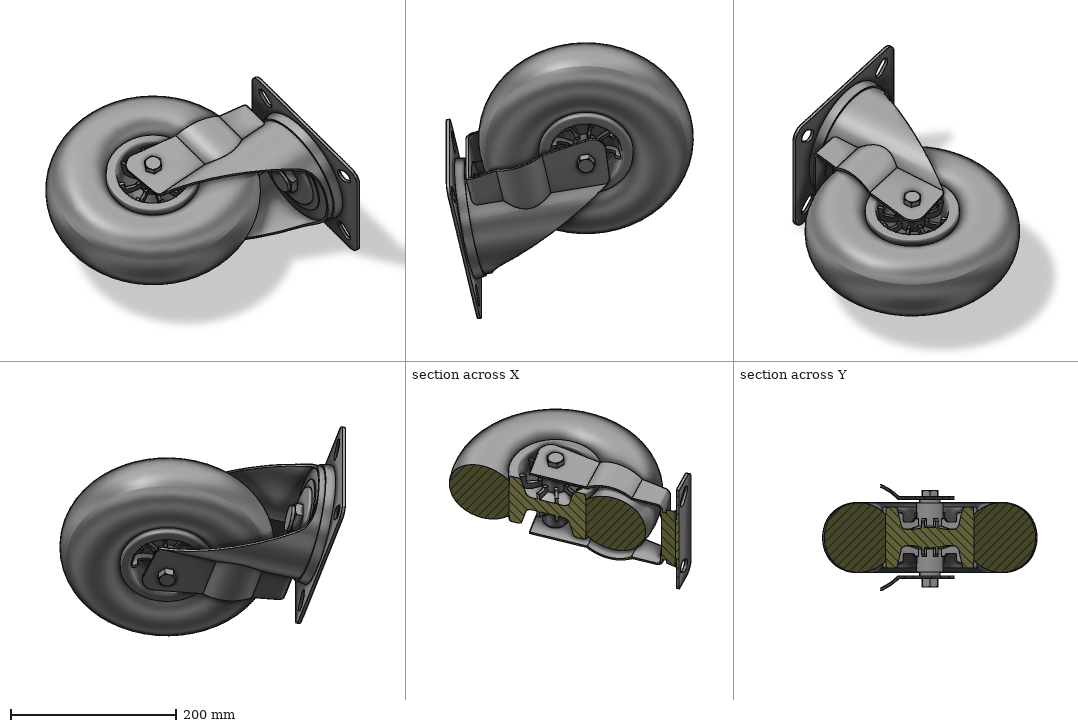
import cadquery as cq
import math


swivel_x = 86.8
plate_length = 200.3
plate_width = 160.0
plate_thickness = 3.8
plate_top_y = 170.0
plate_corner_radius = 15.0
slot_width = 16.5
slot_length = 26.3
slot_offset_x = 75.0
slot_offset_z = 56.5
race_diameter = 133.0
kingpin_diameter = 32.0
kingpin_nut_flats = 35.0
kingpin_nut_height = 9.8
kingpin_tip = 3.8

cap_top_y = 164.8
cap_bottom_y = 153.0
cap_top_radius = 74.2
cap_bottom_radius = 72.3
shell_radius = 70.0
sheet = 3.2
shell_ceiling_y = 146.5
shoulder_top_y = 148.3
leg_outer_z = 49.5
bend_radius = 8.0
bulge_peak_z = 58.5
bulge_radius = 51.5
bulge_y = 80.0
channel_back_x = -50.7
channel_end_y = -38.0
leg_back_top_x = 3.2
leg_back_corner = (-33.0, -28.5)
leg_back_round = 16.0
leg_front_corner = (35.5, -22.5)
leg_front_round = 12.7
front_edge_top = (131.0, 145.5)
front_edge_round = 35.0
seat_radius = 52.0
seat_bottom_y = 144.8
boss_radius = 42.0
boss_bottom_y = 140.7
boss_round = 2.2

tyre_radius = 130.0
tread_edge_radius = 122.3
tread_half_width = 25.5
tyre_half_width = 42.5
tyre_side_radius = 87.5
tyre_bead_z = 28.2

rim_radius = 57.0
rim_half_width = 37.0
rim_edge_round = 2.5
lip_inner_radius = 47.5
lip_round = 3.8
wall_foot_radius = 40.3
floor_z = 10.0
floor_fillet = 6.3
floor_inner_radius = 28.0
hub_radius = kingpin_diameter / 2
hub_half_width = 41.8
hub_foot_z = 14.0
spacer_diameter = 25.0
rib_count = 8
rib_width = 3.8
rib_post_z = 30.0
rib_post_radius = 35.8
rib_low_z = 19.0
rib_inner_z = 22.8
rib_inner_radius = 20.5
rib_fillet = 3.2

axle_diameter = 12.0
axle_hex_flats = 19.0
axle_head_height = 7.5
axle_nut_height = 10.5

leg_inner_z = leg_outer_z - sheet
plate_bottom_y = plate_top_y - plate_thickness


def swivel_cylinder(radius, y_low, y_high):
    """Cylinder on the swivel axis between two heights."""
    return cq.Workplane("XZ", origin=(swivel_x, y_high, 0)).circle(radius).extrude(y_high - y_low)


def swivel_cone(radius_low, y_low, radius_high, y_high):
    """Truncated cone on the swivel axis."""
    height = y_high - y_low
    cone = cq.Solid.makeCone(
        radius_low, radius_high, height, pnt=cq.Vector(swivel_x, y_low, 0), dir=cq.Vector(0, 1, 0)
    )
    return cq.Workplane(cone)


def hexagon(plane, origin, flats, length):
    """Hexagonal prism along the plane normal, corners on the local y axis, far end chamfered to a circle."""
    base = cq.Workplane(plane, origin=origin)
    corners = flats / math.cos(math.pi / 6)
    corner_depth = (corners - flats) / 2
    prism = base.transformed(rotate=(0, 0, 90)).polygon(6, corners).extrude(length)
    far_end = cq.selectors.DirectionMinMaxSelector(base.plane.zDir, True)
    chamfer_height = corner_depth * math.tan(math.pi / 6)
    envelope = base.circle(corners / 2).extrude(length).faces(far_end).chamfer(chamfer_height, corner_depth)
    return prism.intersect(envelope)


def make_plate():
    """Mounting plate with its race disk and the kingpin that carries the fork."""
    plate = (
        cq.Workplane("XZ", origin=(swivel_x, plate_top_y, 0))
        .rect(plate_length, plate_width)
        .extrude(plate_thickness)
        .edges("|Y")
        .fillet(plate_corner_radius)
    )
    slot_angle = math.degrees(math.atan2(slot_offset_z, slot_offset_x))
    for side_x in (1, -1):
        for side_z in (1, -1):
            slot = (
                cq.Workplane("XZ", origin=(swivel_x, plate_top_y, 0))
                .center(side_x * slot_offset_x, side_z * slot_offset_z)
                .slot2D(slot_length, slot_width, side_x * side_z * slot_angle)
                .extrude(plate_thickness)
            )
            plate = plate.cut(slot)
    nut_end_y = boss_bottom_y - kingpin_nut_height
    race = swivel_cylinder(race_diameter / 2, cap_top_y, plate_bottom_y)
    kingpin = swivel_cylinder(kingpin_diameter / 2, nut_end_y - kingpin_tip, plate_bottom_y)
    nut = hexagon("XZ", (swivel_x, boss_bottom_y, 0), kingpin_nut_flats, kingpin_nut_height)
    return plate.union(race).union(kingpin).union(nut)


def channel(inset):
    """U-shaped channel with a bulged bay in each leg, offset inward by the inset."""
    half_width = leg_outer_z - inset
    top_y = shoulder_top_y - inset
    length = swivel_x - channel_back_x
    body = (
        cq.Workplane("XY", origin=(channel_back_x, channel_end_y, -half_width))
        .box(length, top_y - channel_end_y, 2 * half_width, centered=False)
        .edges("|X and >Y")
        .fillet(bend_radius - inset)
    )
    for side in (1, -1):
        bulge_z = side * (bulge_peak_z - bulge_radius)
        bulge = (
            cq.Workplane("YZ", origin=(channel_back_x, bulge_y, bulge_z))
            .circle(bulge_radius - inset)
            .extrude(length)
        )
        body = body.union(bulge)
    return body


def fork_side_outline():
    """Prism along Z that trims the fork to its side outline."""
    depth = 2 * cap_top_radius
    front_x = swivel_x + cap_top_radius
    prism = (
        cq.Workplane("XY", origin=(0, 0, -depth / 2))
        .moveTo(leg_back_top_x, cap_top_y)
        .lineTo(*leg_back_corner)
        .lineTo(*leg_front_corner)
        .lineTo(*front_edge_top)
        .lineTo(front_x, front_edge_top[1])
        .lineTo(front_x, cap_top_y)
        .close()
        .extrude(depth)
    )
    corner_rounds = [
        (leg_back_corner, leg_back_round),
        (leg_front_corner, leg_front_round),
        (front_edge_top, front_edge_round),
    ]
    for corner, radius in corner_rounds:
        prism = prism.edges(cq.selectors.NearestToPointSelector((*corner, 0))).fillet(radius)
    return prism


def make_fork():
    """Swivel head and two legs pressed from one sheet, with the cap ring on top."""
    shell = swivel_cylinder(shell_radius, channel_end_y, cap_bottom_y)
    hollow = swivel_cylinder(shell_radius - sheet, channel_end_y, shell_ceiling_y)
    fork = channel(0).union(shell).cut(channel(sheet)).cut(hollow).intersect(fork_side_outline())
    cap = swivel_cone(cap_bottom_radius, cap_bottom_y, cap_top_radius, cap_top_y)
    seat = swivel_cylinder(seat_radius, seat_bottom_y, shell_ceiling_y)
    boss = swivel_cylinder(boss_radius, boss_bottom_y, shell_ceiling_y).faces("<Y").edges().fillet(boss_round)
    kingpin_hole = swivel_cylinder(kingpin_diameter / 2, boss_bottom_y, cap_top_y)
    axle_hole = cq.Workplane("XY").circle(axle_diameter / 2).extrude(leg_outer_z, both=True)
    return fork.union(cap).union(seat).union(boss).cut(kingpin_hole).cut(axle_hole)


def make_tyre():
    """Tyre with a rounded tread and round side walls."""
    profile = (
        cq.Workplane("XZ")
        .moveTo(rim_radius, -tyre_bead_z)
        .threePointArc((tyre_side_radius, -tyre_half_width), (tread_edge_radius, -tread_half_width))
        .threePointArc((tyre_radius, 0), (tread_edge_radius, tread_half_width))
        .threePointArc((tyre_side_radius, tyre_half_width), (rim_radius, tyre_bead_z))
        .close()
    )
    return profile.revolve(360, (0, 0, 0), (0, 1, 0))


def make_half_rim():
    """Upper half of the rim: flange, recessed floor, hub, spacer and ribs."""
    wall_top_radius = lip_inner_radius - lip_round
    profile = (
        cq.Workplane("XZ")
        .moveTo(axle_diameter / 2, 0)
        .lineTo(rim_radius, 0)
        .lineTo(rim_radius, rim_half_width - rim_edge_round)
        .radiusArc((rim_radius - rim_edge_round, rim_half_width), -rim_edge_round)
        .lineTo(lip_inner_radius, rim_half_width)
        .radiusArc((wall_top_radius, rim_half_width - lip_round), -lip_round)
        .lineTo(wall_foot_radius, floor_z + floor_fillet)
        .radiusArc((wall_foot_radius - floor_fillet, floor_z), floor_fillet)
        .lineTo(floor_inner_radius, floor_z)
        .lineTo(hub_radius, hub_foot_z)
        .lineTo(hub_radius, hub_half_width)
        .lineTo(spacer_diameter / 2, hub_half_width)
        .lineTo(spacer_diameter / 2, leg_inner_z)
        .lineTo(axle_diameter / 2, leg_inner_z)
        .close()
    )
    half = profile.revolve(360, (0, 0, 0), (0, 1, 0))
    rib_outer_radius = (lip_inner_radius + wall_foot_radius) / 2
    rib = (
        cq.Workplane("XZ", origin=(0, rib_width / 2, 0))
        .moveTo(axle_diameter, 0)
        .lineTo(rib_outer_radius, 0)
        .lineTo(rib_outer_radius, rib_post_z)
        .lineTo(rib_post_radius + rib_fillet, rib_post_z)
        .radiusArc((rib_post_radius, rib_post_z - rib_fillet), -rib_fillet)
        .lineTo(rib_post_radius, rib_low_z + rib_fillet)
        .radiusArc((rib_post_radius - rib_fillet, rib_low_z), rib_fillet)
        .lineTo(rib_inner_radius + rib_inner_z - rib_low_z, rib_low_z)
        .radiusArc((rib_inner_radius, rib_inner_z), rib_inner_z - rib_low_z)
        .lineTo(axle_diameter, rib_inner_z)
        .close()
        .extrude(rib_width)
    )
    rib_step = 360 / rib_count
    for index in range(rib_count):
        half = half.union(rib.rotate((0, 0, 0), (0, 0, 1), (index + 0.5) * rib_step))
    return half


def make_rim():
    """Rim made of two mirrored halves."""
    half = make_half_rim()
    return half.union(half.mirror("XY"))


def make_axle():
    """Axle bolt with its head above the upper leg and its nut below the lower leg."""
    shaft = cq.Workplane("XY").circle(axle_diameter / 2).extrude(leg_outer_z, both=True)
    head = hexagon("XY", (0, 0, leg_outer_z), axle_hex_flats, axle_head_height)
    nut = hexagon("XY", (0, 0, leg_outer_z), axle_hex_flats, axle_nut_height).mirror("XY")
    return shaft.union(head).union(nut)


plate = make_plate()
fork = make_fork()
tyre = make_tyre()
rim = make_rim()
axle = make_axle()

result = cq.Compound.makeCompound([plate.val(), fork.val(), tyre.val(), rim.val(), axle.val()])